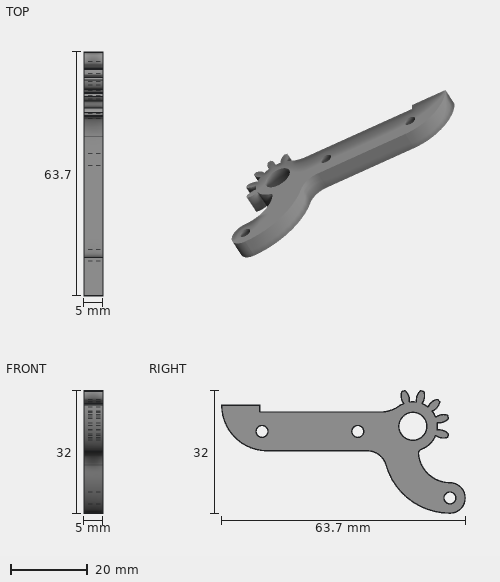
import cadquery as cq
import math

thickness = 5.0

hub_radius = 6.4
hub_bore_radius = 3.6
tooth_angles = [-15, 15, 45, 75, 105]
tooth_foot_radius = 6.1
tooth_foot_half_width = 0.65
tooth_belly_radius = 7.95
tooth_belly_half_width = 1.0
tooth_tip_radius = 9.55
tooth_tip_half_width = 0.45

bar_end_y = -49.95
bar_top_z = 3.75
bar_bottom_z = -hub_radius
block_length = 10.0
block_top_z = 5.55
bar_end_radius = block_top_z - bar_bottom_z
neck_radius = 8.0

tail_center = (9.7, -18.7)
tail_end_radius = 4.0
tail_inner_radius = 8.2
tail_outer_radius = 17.4
armpit_radius = 1.0
crook_radius = 5.0

pin_hole_radius = 1.5
bar_hole_spacing = 25.0
first_bar_hole_y = -14.4
bar_hole_z = (bar_top_z + bar_bottom_z) / 2


def toward(start, target, distance):
    """Point at a distance from start, on the ray through target."""
    length = math.dist(start, target)
    return tuple(s + (t - s) * distance / length for s, t in zip(start, target))


def arc_middle(center, radius, start, end):
    """Middle point of the shorter arc between two points on a circle."""
    chord_middle = ((start[0] + end[0]) / 2, (start[1] + end[1]) / 2)
    return toward(center, chord_middle, radius)


def right_hand_crossing(center_a, radius_a, center_b, radius_b):
    """Crossing point of two circles, on the right-hand side going from a to b."""
    gap = math.dist(center_a, center_b)
    along = (gap**2 + radius_a**2 - radius_b**2) / (2 * gap)
    aside = math.sqrt(radius_a**2 - along**2)
    dy = (center_b[0] - center_a[0]) / gap
    dz = (center_b[1] - center_a[1]) / gap
    return (center_a[0] + along * dy + aside * dz, center_a[1] + along * dz - aside * dy)


def lever_outline():
    hub = (0, 0)
    tail_y, tail_z = tail_center
    tail_top = (tail_y, tail_z + tail_end_radius)
    tail_tip = (tail_y + tail_end_radius, tail_z)
    tail_bottom = (tail_y, tail_z - tail_end_radius)
    inner_center = (tail_y, tail_top[1] + tail_inner_radius)
    outer_center = (tail_y, tail_bottom[1] + tail_outer_radius)

    neck_z = bar_top_z + neck_radius
    neck = (-math.sqrt((hub_radius + neck_radius) ** 2 - neck_z**2), neck_z)
    neck_on_bar = (neck[0], bar_top_z)
    neck_on_hub = toward(hub, neck, hub_radius)

    armpit = right_hand_crossing(
        hub, hub_radius + armpit_radius, inner_center, tail_inner_radius - armpit_radius
    )
    armpit_on_hub = toward(hub, armpit, hub_radius)
    armpit_on_tail = toward(inner_center, armpit, tail_inner_radius)

    crook_z = bar_bottom_z - crook_radius
    crook_reach = math.sqrt((tail_outer_radius + crook_radius) ** 2 - (crook_z - outer_center[1]) ** 2)
    crook = (tail_y - crook_reach, crook_z)
    crook_on_tail = toward(outer_center, crook, tail_outer_radius)
    crook_on_bar = (crook[0], bar_bottom_z)

    bar_end = (bar_end_y, block_top_z)
    round_center = (bar_end_y + bar_end_radius, block_top_z)
    round_start = (round_center[0], bar_bottom_z)
    block_y = bar_end_y + block_length

    return (
        cq.Workplane("YZ")
        .moveTo(*bar_end)
        .lineTo(block_y, block_top_z)
        .lineTo(block_y, bar_top_z)
        .lineTo(*neck_on_bar)
        .threePointArc(arc_middle(neck, neck_radius, neck_on_bar, neck_on_hub), neck_on_hub)
        .threePointArc((hub_radius, 0), armpit_on_hub)
        .threePointArc(arc_middle(armpit, armpit_radius, armpit_on_hub, armpit_on_tail), armpit_on_tail)
        .threePointArc(arc_middle(inner_center, tail_inner_radius, armpit_on_tail, tail_top), tail_top)
        .threePointArc(tail_tip, tail_bottom)
        .threePointArc(arc_middle(outer_center, tail_outer_radius, tail_bottom, crook_on_tail), crook_on_tail)
        .threePointArc(arc_middle(crook, crook_radius, crook_on_tail, crook_on_bar), crook_on_bar)
        .lineTo(*round_start)
        .threePointArc(arc_middle(round_center, bar_end_radius, round_start, bar_end), bar_end)
        .close()
    )


def gear_tooth(angle):
    """Leaf-shaped tooth, drawn pointing along +Y and then turned about the hub axis."""
    return (
        cq.Workplane("YZ")
        .moveTo(tooth_foot_radius, -tooth_foot_half_width)
        .threePointArc(
            (tooth_belly_radius, -tooth_belly_half_width), (tooth_tip_radius, -tooth_tip_half_width)
        )
        .lineTo(tooth_tip_radius, tooth_tip_half_width)
        .threePointArc(
            (tooth_belly_radius, tooth_belly_half_width), (tooth_foot_radius, tooth_foot_half_width)
        )
        .close()
        .extrude(thickness / 2, both=True)
        .rotate((0, 0, 0), (1, 0, 0), angle)
    )


def through_holes(centers, radius):
    return cq.Workplane("YZ").pushPoints(centers).circle(radius).extrude(thickness / 2, both=True)


result = lever_outline().extrude(thickness / 2, both=True)

for tooth_angle in tooth_angles:
    result = result.union(gear_tooth(tooth_angle))

bar_hole_ys = [first_bar_hole_y, first_bar_hole_y - bar_hole_spacing]
bar_holes = [(y, bar_hole_z) for y in bar_hole_ys]
result = result.cut(through_holes([(0, 0)], hub_bore_radius))
result = result.cut(through_holes([tail_center] + bar_holes, pin_hole_radius))